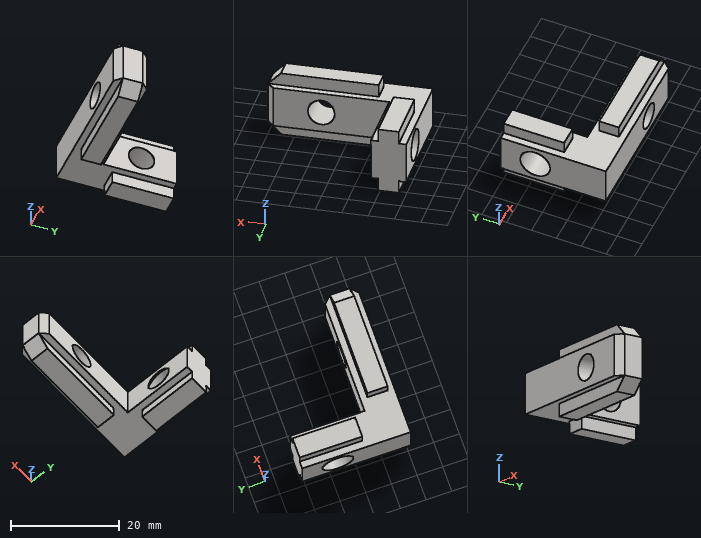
import cadquery as cq

length_x = 30
length_y = 21.2
height = 13.0

arm_width = 6.7
body_height = 8.0
end_chamfer = 1.38

rib_width = 3.93
rib_start = 9
rib_inset = (arm_width - rib_width) / 2
rib_height = (height - body_height) / 2

hole_diameter = 5.05
long_arm_hole_x = 19.55
short_arm_hole_y = 14.22
wide_bore_diameter = 6
cone_length = (wide_bore_diameter - hole_diameter) / 2


def make_body():
    """L-shaped body with the free end of the long arm chamfered."""
    long_arm = (
        cq.Workplane("XY")
        .box(length_x, arm_width, body_height, centered=(False, False, True))
        .edges("|Z and >X")
        .chamfer(end_chamfer)
    )
    short_arm = cq.Workplane("XY").box(
        arm_width, length_y, body_height, centered=(False, False, True)
    )
    return long_arm.union(short_arm)


def make_long_ribs():
    """Full-height bar along X, sloped at its free end above and below the body."""
    return (
        cq.Workplane("XY")
        .box(length_x - rib_start, rib_width, height, centered=(False, False, True))
        .edges("|Y and >X")
        .chamfer(rib_height)
        .translate((rib_start, rib_inset, 0))
    )


def make_short_ribs():
    """Full-height bar along Y, square at both ends."""
    return (
        cq.Workplane("XY")
        .box(rib_width, length_y - rib_start, height, centered=(False, False, True))
        .translate((rib_inset, rib_start, 0))
    )


def make_long_arm_hole():
    """Plain through hole along Y."""
    return (
        cq.Workplane("XZ", origin=(long_arm_hole_x, 0, 0))
        .circle(hole_diameter / 2)
        .extrude(-arm_width)
    )


def make_short_arm_hole():
    """Wide bore along X, narrowing in a 45 degree cone to the inner face of the arm."""
    return (
        cq.Workplane("YZ", origin=(0, short_arm_hole_y, 0))
        .circle(wide_bore_diameter / 2)
        .extrude(arm_width)
        .faces(">X")
        .chamfer(cone_length)
    )


result = (
    make_body()
    .union(make_long_ribs())
    .union(make_short_ribs())
    .cut(make_long_arm_hole())
    .cut(make_short_arm_hole())
)